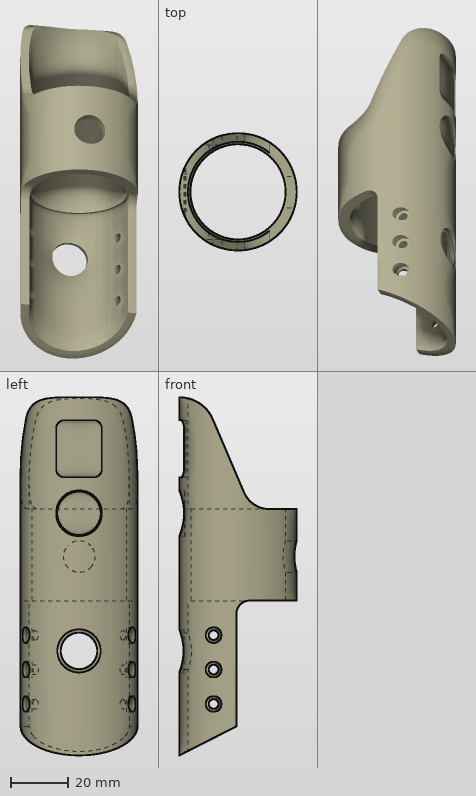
import cadquery as cq
import math

outer_radius = 41.0 / 2
bore_radius = 35.0 / 2
collar_radius = 33.13 / 2
height = 125.0

tab_top = 86.0
tab_bottom = 54.0
collar_bottom = tab_bottom
lower_edge_x = -0.5
lower_edge_z = 10.2
crest_corner_x = -12.05
valley_corner_x = 4.6
valley_radius = 9.5
notch_radius = 4.5

label_width = 16.0
label_height = 20.0
label_center_z = 107.0
label_corner_radius = 3.0
label_depth = 2.3

disc_diameter = 16.0
disc_depth = 1.8
disc_center_z = 84.5
disc_floor_diameter = 15.1
disc_floor_depth = 2.0

port_center_z = 36.5
port_diameter = 12.65
port_recess_diameter = 15.1
port_recess_depth = 1.6

tab_hole_diameter = 11.0
tab_hole_center_z = 69.5

screw_x = -8.5
screw_heights = [18.0, 30.0, 42.0]
screw_diameter = 3.3
screw_head_diameter = 5.53
screw_head_floor_y = 16.5


def side_profile():
    """Outline of the sleeve in the XZ plane, extruded across the full width."""
    slope_angle = math.atan2(height - tab_top, valley_corner_x - crest_corner_x)
    slope_x = math.cos(slope_angle)
    slope_z = math.sin(slope_angle)
    crest_tangent = crest_corner_x + outer_radius
    valley_tangent = valley_radius * math.tan(slope_angle / 2)
    crest_end = (crest_corner_x + crest_tangent * slope_x, height - crest_tangent * slope_z)
    valley_start = (valley_corner_x - valley_tangent * slope_x, tab_top + valley_tangent * slope_z)
    valley_end = (valley_corner_x + valley_tangent, tab_top)
    return (
        cq.Workplane("XZ")
        .moveTo(-outer_radius, 0)
        .lineTo(lower_edge_x, lower_edge_z)
        .lineTo(lower_edge_x, tab_bottom - notch_radius)
        .tangentArcPoint((lower_edge_x + notch_radius, tab_bottom), relative=False)
        .lineTo(outer_radius, tab_bottom)
        .lineTo(outer_radius, tab_top)
        .lineTo(*valley_end)
        .tangentArcPoint(valley_start, relative=False)
        .lineTo(*crest_end)
        .tangentArcPoint((-outer_radius, height), relative=False)
        .close()
        .extrude(outer_radius, both=True)
    )


def sleeve():
    """Tube cut to the side profile, with a narrower collar at the tab height."""
    tube = cq.Workplane("XY").circle(outer_radius).extrude(height)
    bore = cq.Workplane("XY").circle(bore_radius).extrude(height)
    collar = (
        cq.Workplane("XY", origin=(0, 0, collar_bottom))
        .circle(bore_radius)
        .circle(collar_radius)
        .extrude(tab_top - collar_bottom)
    )
    return tube.cut(bore).union(collar).intersect(side_profile())


def left_face(z):
    """Sketch plane touching the -X side, facing into the wall."""
    return cq.Workplane("YZ", origin=(-outer_radius, 0, z))


def label_pocket():
    block = left_face(label_center_z).rect(label_width, label_height).extrude(label_depth)
    return block.edges("|X").fillet(label_corner_radius)


def disc_pocket():
    recess = left_face(disc_center_z).circle(disc_diameter / 2).extrude(disc_depth)
    floor = left_face(disc_center_z).circle(disc_floor_diameter / 2).extrude(disc_floor_depth)
    return recess.union(floor)


def port():
    hole = left_face(port_center_z).circle(port_diameter / 2).extrude(outer_radius)
    recess = left_face(port_center_z).circle(port_recess_diameter / 2).extrude(port_recess_depth)
    return hole.union(recess)


def tab_hole():
    plane = cq.Workplane("YZ", origin=(0, 0, tab_hole_center_z))
    return plane.circle(tab_hole_diameter / 2).extrude(outer_radius)


def screw_holes():
    centers = [(screw_x, z) for z in screw_heights]
    plane = cq.Workplane("XZ")
    holes = plane.pushPoints(centers).circle(screw_diameter / 2).extrude(outer_radius, both=True)
    for side in (1, -1):
        heads = (
            cq.Workplane("XZ", origin=(0, side * screw_head_floor_y, 0))
            .pushPoints(centers)
            .circle(screw_head_diameter / 2)
            .extrude(-side * outer_radius)
        )
        holes = holes.union(heads)
    return holes


result = (
    sleeve()
    .cut(label_pocket())
    .cut(disc_pocket())
    .cut(port())
    .cut(tab_hole())
    .cut(screw_holes())
)